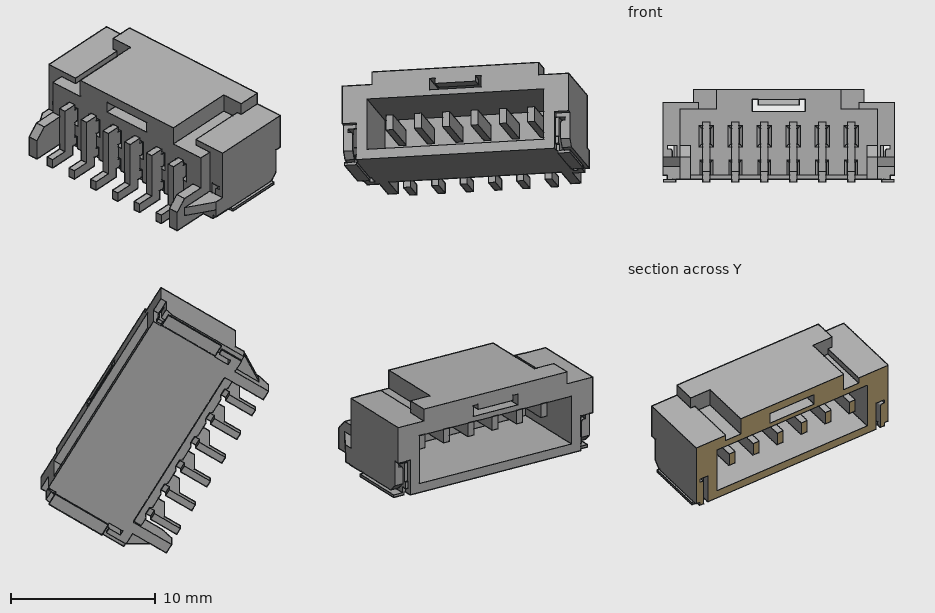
import cadquery as cq


half_width = 8.0
top_z = 6.4
bottom_z = 0.2
shoulder_top_z = 5.5
shoulder_back_y = -6.02

wall_back_y = -6.95
wall_half_width = 6.82
ledge_z = 5.04
wall_bottom_z = 0.5
undercut_depth = 0.64

raised_front_half_width = 5.89
raised_back_half_width = 4.29
raised_step_y = -1.7
lip_half_width = 5.54

cavity_half_width = 6.24
cavity_bottom_z = 0.88
cavity_top_z = 4.48
cavity_back_y = -5.84
window_half_width = 1.82
window_bottom_z = 4.88
window_top_z = 5.7
latch_half_width = 1.42
latch_bottom_z = 5.31
latch_back_y = -0.96
latch_undercut = 0.1

skin_inner_x = 7.7
skin_bottom_z = 0.46
skin_front_y = -0.43
skin_front_top_z = 2.82
skin_chamfer = 0.5

arm_inner_x = 6.1
arm_top_z = 2.51
arm_end_y = -9.4
arm_chamfer = 0.77
block_top_z = 1.75
block_back_y = -6.69
gusset_bottom_z = 1.07
gusset_end_y = arm_end_y + arm_chamfer

slot_inner_x = 7.0
slot_leg_x = 7.35
slot_outer_x = 7.66
slot_top_z = 2.51
slot_leg_z = 2.29
slot_corner_radius = 0.18
bracket_foot_inner_x = 7.1
bracket_upright_outer_x = 7.23
bracket_outer_x = 7.97
bracket_front_y = -0.62
bracket_top_front_y = -0.37
barb_front_y = -0.25
barb_bottom_z = 0.6
barb_top_z = 1.12
bracket_back_y = -4.91
bracket_notch_back_y = -5.1

pin_count = 6
pin_pitch = 2.0
pin_width = 0.5
pin_top_z = 4.13
pin_front_y = -6.98
pin_back_y = -8.02
foot_front_y = -7.18
foot_end_y = -9.3
foot_top_z = 0.72
contact_tip_y = -1.6
stub_tip_y = -6.4

upper_pocket_half_width = 0.51
upper_pocket_bottom_z = 2.42
upper_pocket_top_z = 3.9
lower_pocket_half_width = 0.45
lower_pocket_top_z = 1.52
pin_clearance = 0.05
upper_pocket_inset = upper_pocket_half_width - pin_width / 2 - pin_clearance
lower_pocket_inset = lower_pocket_half_width - pin_width / 2 - pin_clearance


def box(x_range, y_range, z_range):
    """Axis-aligned block between the given limits."""
    size = [abs(b - a) for a, b in (x_range, y_range, z_range)]
    corner = [min(limits) for limits in (x_range, y_range, z_range)]
    return cq.Workplane("XY").box(*size, centered=False).translate(tuple(corner))


def centred_box(half_x, y_range, z_range):
    """Block symmetric about the plane X = 0."""
    return box((-half_x, half_x), y_range, z_range)


def side_profile(points, x_start, x_end):
    """Outline of (Y, Z) points extruded from x_start to x_end."""
    return cq.Workplane("YZ").workplane(offset=x_start).polyline(points).close().extrude(x_end - x_start)


def both_sides(right):
    """A +X feature together with its mirror image."""
    return right.union(right.mirror("YZ"))


def housing_shell():
    body = centred_box(half_width, (0, shoulder_back_y), (bottom_z, shoulder_top_z))
    wall = centred_box(wall_half_width, (shoulder_back_y, wall_back_y), (bottom_z, ledge_z))
    undercut = centred_box(
        arm_inner_x, (wall_back_y, wall_back_y + undercut_depth), (bottom_z, wall_bottom_z)
    )
    groove = centred_box(lip_half_width, (raised_step_y, shoulder_back_y), (ledge_z, shoulder_top_z))
    front_top = centred_box(raised_front_half_width, (0, raised_step_y), (ledge_z, top_z))
    back_top = centred_box(raised_back_half_width, (raised_step_y, wall_back_y), (ledge_z, top_z))
    return body.union(wall).cut(undercut).cut(groove).union(front_top).union(back_top)


def mating_opening():
    cavity = centred_box(cavity_half_width, (0, cavity_back_y), (cavity_bottom_z, cavity_top_z))
    window = centred_box(window_half_width, (0, wall_back_y), (window_bottom_z, window_top_z))
    return cavity.union(window)


def latch():
    outline = [
        (0, window_top_z),
        (latch_back_y, window_top_z),
        (latch_back_y - latch_undercut, latch_bottom_z),
        (0, latch_bottom_z),
    ]
    return side_profile(outline, -latch_half_width, latch_half_width)


def corner_support():
    """Rear arm with the corner block and gusset that brace it."""
    arm = side_profile(
        [
            (shoulder_back_y, bottom_z),
            (shoulder_back_y, arm_top_z),
            (arm_end_y + arm_chamfer, arm_top_z),
            (arm_end_y, arm_top_z - arm_chamfer),
            (arm_end_y, bottom_z),
        ],
        arm_inner_x,
        wall_half_width,
    )
    block = box((wall_half_width, half_width), (shoulder_back_y, block_back_y), (bottom_z, block_top_z))
    gusset = (
        cq.Workplane("XY")
        .workplane(offset=gusset_bottom_z)
        .polyline([(wall_half_width, block_back_y), (half_width, block_back_y), (wall_half_width, gusset_end_y)])
        .close()
        .extrude(block_top_z - gusset_bottom_z)
    )
    return arm.union(block).union(gusset)


def skin_cutback():
    """Bottom rebate along the skin and the relief that bares the bracket at the mating corner."""
    rebate = box((skin_inner_x, half_width), (0, block_back_y), (bottom_z, skin_bottom_z))
    relief = side_profile(
        [
            (0, bottom_z),
            (0, skin_front_top_z),
            (skin_front_y, skin_front_top_z),
            (skin_front_y, skin_bottom_z + skin_chamfer),
            (skin_front_y - skin_chamfer, skin_bottom_z),
            (skin_front_y - skin_chamfer, bottom_z),
        ],
        slot_inner_x,
        half_width,
    )
    return rebate.union(relief)


def bracket_slot():
    """L-shaped slot along Y plus the notch that lets the bracket foot out."""
    slot = (
        cq.Workplane("XZ")
        .moveTo(slot_inner_x, bottom_z)
        .lineTo(slot_inner_x, slot_top_z)
        .lineTo(slot_outer_x, slot_top_z)
        .lineTo(slot_outer_x, slot_leg_z)
        .lineTo(slot_leg_x + slot_corner_radius, slot_leg_z)
        .radiusArc((slot_leg_x, slot_leg_z - slot_corner_radius), -slot_corner_radius)
        .lineTo(slot_leg_x, bottom_z)
        .close()
        .extrude(-shoulder_back_y)
    )
    notch = box(
        (slot_inner_x, half_width), (bracket_front_y, bracket_notch_back_y), (bottom_z, skin_bottom_z)
    )
    return slot.union(notch)


def solder_bracket():
    """Soldering foot with a thin upright whose front edge carries a retaining barb."""
    foot = box(
        (bracket_foot_inner_x, bracket_outer_x),
        (bracket_front_y, bracket_back_y),
        (0, bottom_z),
    )
    upright = side_profile(
        [
            (bracket_back_y, bottom_z),
            (bracket_back_y, slot_top_z),
            (bracket_top_front_y, slot_top_z),
            (bracket_top_front_y, barb_top_z),
            (barb_front_y, barb_top_z),
            (barb_front_y, barb_bottom_z),
            (bracket_front_y, barb_bottom_z),
            (bracket_front_y, bottom_z),
        ],
        slot_inner_x,
        bracket_upright_outer_x,
    )
    return foot.union(upright)


def pocket(x, half_x, z_range, inset, bottom_inset):
    """Pocket in the rear wall, narrowing at 45 degrees to a floor smaller by inset."""
    bottom, top = z_range

    def section(y, step, bottom_step):
        return [
            cq.Vector(x - half_x + step, y, bottom + bottom_step),
            cq.Vector(x + half_x - step, y, bottom + bottom_step),
            cq.Vector(x + half_x - step, y, top - step),
            cq.Vector(x - half_x + step, y, top - step),
        ]

    mouth = cq.Wire.makePolygon(section(wall_back_y, 0, 0), close=True)
    floor = cq.Wire.makePolygon(section(wall_back_y + inset, inset, bottom_inset), close=True)
    return cq.Workplane(cq.Solid.makeLoft([mouth, floor], True))


def pin_pockets(x):
    upper = pocket(
        x,
        upper_pocket_half_width,
        (upper_pocket_bottom_z, upper_pocket_top_z),
        upper_pocket_inset,
        upper_pocket_inset,
    )
    lower = pocket(x, lower_pocket_half_width, (wall_bottom_z, lower_pocket_top_z), lower_pocket_inset, 0)
    return upper.union(lower)


def pin(x):
    """Upright blade with a solder foot, a mating contact and a short anchoring stub."""
    contact_bottom_z = upper_pocket_bottom_z + upper_pocket_inset
    contact_top_z = upper_pocket_top_z - upper_pocket_inset
    stub_top_z = lower_pocket_top_z - lower_pocket_inset
    outline = [
        (foot_front_y, 0),
        (foot_end_y, 0),
        (foot_end_y, foot_top_z),
        (pin_back_y, foot_top_z),
        (pin_back_y, pin_top_z),
        (pin_front_y, pin_top_z),
        (pin_front_y, contact_top_z),
        (contact_tip_y, contact_top_z),
        (contact_tip_y, contact_bottom_z),
        (pin_front_y, contact_bottom_z),
        (pin_front_y, stub_top_z),
        (stub_tip_y, stub_top_z),
        (stub_tip_y, foot_top_z),
        (foot_front_y, foot_top_z),
    ]
    return side_profile(outline, x - pin_width / 2, x + pin_width / 2)


housing = housing_shell().cut(mating_opening()).union(latch())
housing = housing.union(both_sides(corner_support()))
housing = housing.cut(both_sides(skin_cutback())).cut(both_sides(bracket_slot()))

result = housing.union(both_sides(solder_bracket()))
pin_positions = [(i - (pin_count - 1) / 2) * pin_pitch for i in range(pin_count)]
for pin_x in pin_positions:
    result = result.cut(pin_pockets(pin_x)).union(pin(pin_x))